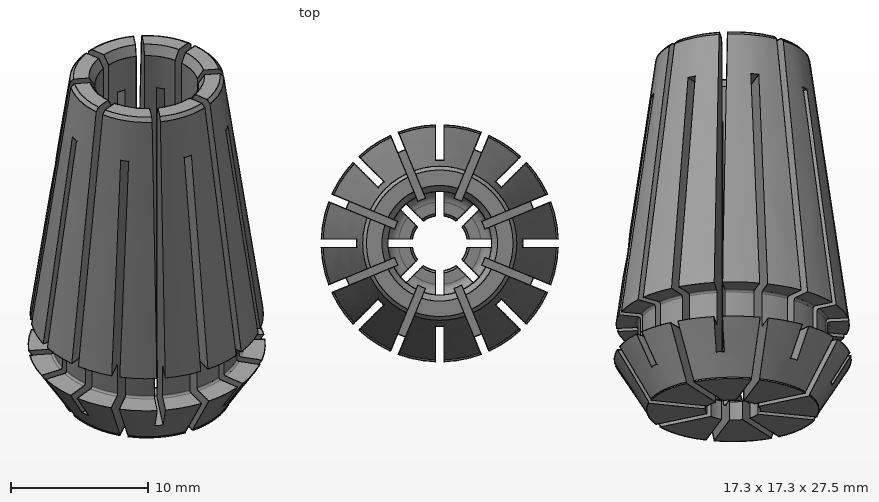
import cadquery as cq
import math


height = 27.5
nose_radius = 6.27
nose_rim_height = 0.1
collar_radius = 8.64
collar_height = 3.95
groove_radius = 6.9
groove_top = 6.68
groove_fillet = 0.16
taper_angle = 8.0
taper_base_radius = 8.5
top_chamfer = 0.28

bore_radius = 3.77
mouth_radius = 4.2
mouth_depth = 0.72
floor_height = 1.6
floor_fillet = 0.77
hole_radius = 2.0
hole_chamfer = 0.16

slot_count = 8
slot_width = 0.6
slot_pitch = 360.0 / slot_count
nose_slot_end = 24.0
top_slot_end = 1.73
slot_reach = collar_radius + 0.28

shoulder_height = height - top_chamfer
taper_drop = (shoulder_height - groove_top) * math.tan(math.radians(taper_angle))
taper_top_radius = taper_base_radius - taper_drop


def corner_arc(outline, center, radius, middle_angle, end_angle):
    """Extend the outline by an arc given by its centre and angles in degrees."""
    points = []
    for angle in (middle_angle, end_angle):
        radians = math.radians(angle)
        points.append((center[0] + radius * math.cos(radians), center[1] + radius * math.sin(radians)))
    return outline.threePointArc(*points)


def collet_body():
    """Revolve the half section (radius, height) about the Z axis."""
    groove_arc_radius = groove_radius + groove_fillet
    outline = (
        cq.Workplane("XZ")
        .moveTo(hole_radius, 0)
        .lineTo(nose_radius, 0)
        .lineTo(nose_radius, nose_rim_height)
        .lineTo(collar_radius, collar_height)
        .lineTo(groove_arc_radius, collar_height)
    )
    outline = corner_arc(outline, (groove_arc_radius, collar_height + groove_fillet), groove_fillet, 225, 180)
    outline = outline.lineTo(groove_radius, groove_top - groove_fillet)
    outline = corner_arc(outline, (groove_arc_radius, groove_top - groove_fillet), groove_fillet, 135, 90)
    outline = (
        outline.lineTo(taper_base_radius, groove_top)
        .lineTo(taper_top_radius, shoulder_height)
        .lineTo(taper_top_radius - top_chamfer, height)
        .lineTo(mouth_radius, height)
        .lineTo(bore_radius, height - mouth_depth)
        .lineTo(bore_radius, floor_height + floor_fillet)
    )
    floor_arc_center = (bore_radius - floor_fillet, floor_height + floor_fillet)
    outline = corner_arc(outline, floor_arc_center, floor_fillet, -45, -90)
    outline = (
        outline.lineTo(hole_radius + hole_chamfer, floor_height)
        .lineTo(hole_radius, floor_height - hole_chamfer)
        .close()
    )
    return outline.revolve(360, (0, 0), (0, 1))


def slot_set(bottom, top, start_angle):
    """Radial slots between two heights, as slabs that cross the whole collet."""
    slab = cq.Workplane("XY").box(2 * slot_reach, slot_width, top - bottom, centered=(True, True, False))
    slab = slab.translate((0, 0, bottom))
    slots = slab.rotate((0, 0, 0), (0, 0, 1), start_angle)
    for index in range(1, slot_count // 2):
        angle = start_angle + index * slot_pitch
        slots = slots.union(slab.rotate((0, 0, 0), (0, 0, 1), angle))
    return slots


nose_slots = slot_set(0, nose_slot_end, 0)
top_slots = slot_set(top_slot_end, height, slot_pitch / 2)

result = collet_body().cut(nose_slots).cut(top_slots)